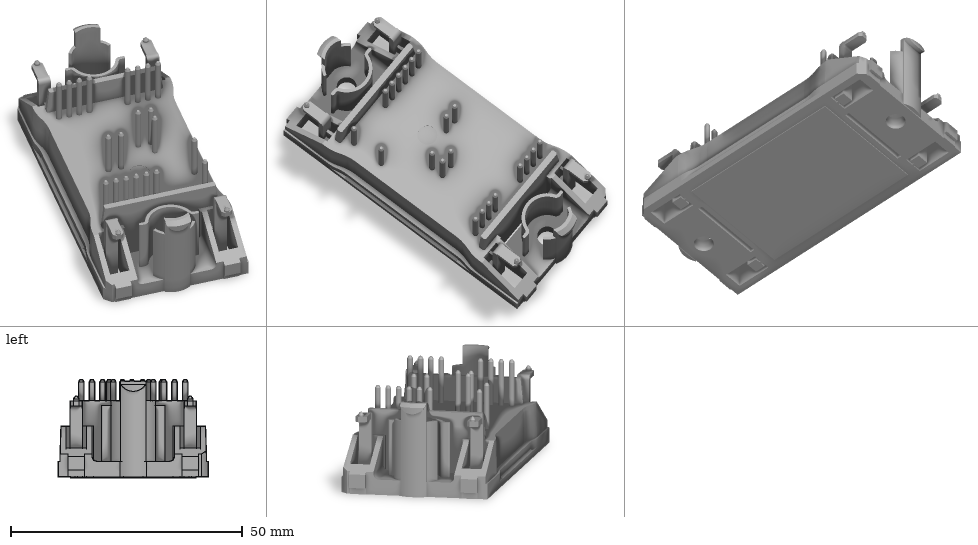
import cadquery as cq
import math

plate_size = (38.3, 27.1)
plate_thick = 0.2
flange_half_x = 32.1
flange_width = 32.5
flange_half_y = flange_width / 2
flange_top = 3.55
corner_cut = 1.5
body_top = 11.15
body_half_y = 15.9
waist_half_y = 14.6
body_draft = 1.8
curve_outer_x = 21.15
curve_inner_x = 13.95

relief_outer_x = 19.9
relief_inner_x = 15.3
relief_half_y = 15.65
relief_floor = 1.65
relief_slope_top = 2.05

slope_start_x = 21.95
tab_end_x = 33.0
tab_top = 4.65
tab_step_z = 1.65
tab_foot_x = 32.3
tab_y = 12.3
tab_width = 3.55

bay_floor_half_y = 7.7
bay_half_y = 8.9
bay_fillet = 1.15
slot_outer_x = 21.6
slot_half_y = 8.55
pocket_inner_x = 21.75
pocket_inner_top_x = 21.5
pocket_outer_x = 30.0
pocket_y = (10.1, 14.5)

hole_x = 27.55
hole_dia = 4.3
post_inner = 4.7
post_outer = 5.55
arm_outer = 5.4
arm_end_angle = 62.0
arm_top = 16.7
post_half_y = 2.8
post_top = 20.85
overall_length = 68.4
hook_radius = overall_length / 2 - hole_x
hook_bottom = 18.7
hook_shoulder = 20.1
hook_belly_radius = 3.15
guard_top = 15.65
guard_inner = 4.8
guard_outer = 5.55
guard_radius = (guard_inner + guard_outer) / 2
guard_thick = guard_outer - guard_inner
guard_tip_x = 1.2
guard_tip_y = 6.4
guard_bend = 0.8

wall_x = 19.8
wall_base = (1.65, 26.4)
wall_crest = (1.4, 25.2)
wall_top = 16.7
wall_corner = 0.3

clip_y = 12.3
clip_width = 2.75
arm_width = 2.45
leg_x = (23.25, 24.55)
leg_bottom = plate_thick
clip_tip_x = 29.4
clip_top = 16.6
clip_thick = 1.15
clip_tip_chamfer = 0.6
clip_bend = 1.0
clip_inner_bend = 0.4
clip_rib_width = 0.6
clip_rib_top = 10.25
shoulder_x = 22.15
shoulder_top = 6.85
nub_x = 28.85
nub_dia = 1.2
nub_collar_top = 17.0
nub_tip_top = 17.7
nub_tip_dia = 0.3

mark_x = 5.4
mark_dia = 4.3
mark_depth = 0.1

pin_dia = 1.2
pin_tip_dia = 0.6
pin_tip_height = 0.55
pin_top = 21.2
right_row_count = 6
right_row_length = 11.5
pin_pitch = right_row_length / (right_row_count - 1)
left_row_count = 4
pin_row_x = 16.7
pin_row_y = 11.2
left_rows = [
    (-pin_row_x, side * (pin_row_y - i * pin_pitch))
    for side in (1, -1)
    for i in range(left_row_count)
]
right_row = [(pin_row_x, i * pin_pitch - pin_row_y) for i in range(right_row_count)]
single_pins = [
    (-2.9, 5.2), (0.0, 5.2), (-2.9, 2.3), (2.8, -3.35),
    (2.8, -6.2), (9.2, pin_row_y), (pin_row_x, pin_row_y),
]


def box(x, y, z):
    """Box from (low, high) pairs along each axis."""
    size = (x[1] - x[0], y[1] - y[0], z[1] - z[0])
    return cq.Workplane("XY").box(*size, centered=False).translate((x[0], y[0], z[0]))


def both_ends(shape):
    """The shape and its mirror image at the other X end."""
    return shape.union(shape.mirror("YZ"))


def both_sides(shape):
    """The shape and its mirror image at the other Y side."""
    return shape.union(shape.mirror("XZ"))


def arc_midpoints(start, end):
    """Midpoints of the two equal arcs of an S curve that is parallel to X at both ends, and its centre."""
    dx = end[0] - start[0]
    dy = end[1] - start[1]
    half_turn = math.atan2(abs(dy), abs(dx))
    rise = math.copysign(abs(dx) / 4 * math.tan(half_turn / 2), dy)
    centre = (start[0] + dx / 2, start[1] + dy / 2)
    first = (start[0] + dx / 4 + rise * dy / dx, start[1] + dy / 4 - rise)
    second = (end[0] - dx / 4 - rise * dy / dx, end[1] - dy / 4 + rise)
    return first, centre, second


def s_curve(outline, start, end):
    """Continue the outline from start to end with an S curve of two arcs."""
    first, centre, second = arc_midpoints(start, end)
    return outline.threePointArc(first, centre).threePointArc(second, end)


def footprint(top):
    """Block of the flange outline, with the two -Y corners cut off."""
    block = box((-flange_half_x, flange_half_x), (-flange_half_y, flange_half_y), (plate_thick, top))
    return block.edges("|Z and <Y").chamfer(corner_cut)


def flange():
    """Flange with a stepped and sloped relief along each long side."""
    start = (-relief_outer_x, flange_half_y)
    inner_left = (-relief_inner_x, relief_half_y)
    inner_right = (relief_inner_x, relief_half_y)
    end = (relief_outer_x, flange_half_y)
    outline = cq.Workplane("XY", origin=(0, 0, relief_floor)).moveTo(*start)
    outline = s_curve(outline, start, inner_left).lineTo(*inner_right)
    relief = s_curve(outline, inner_right, end).close().extrude(flange_top - relief_floor)
    ledge = (
        cq.Workplane("YZ")
        .polyline([
            (flange_half_y, relief_floor), (relief_half_y, relief_slope_top), (relief_half_y, relief_floor),
        ])
        .close()
        .extrude(relief_inner_x, both=True)
    )
    return footprint(flange_top).cut(both_sides(relief.cut(ledge)))


def raised_body():
    """Drafted upper body: wide at the ends, narrow at the waist, sloped at both ends."""
    outline = cq.Workplane("XY", origin=(0, 0, flange_top)).moveTo(-tab_end_x, -body_half_y)
    for turn in (1, -1):
        wide_start = (-turn * curve_outer_x, turn * body_half_y)
        waist_start = (-turn * curve_inner_x, turn * waist_half_y)
        waist_end = (turn * curve_inner_x, turn * waist_half_y)
        wide_end = (turn * curve_outer_x, turn * body_half_y)
        outline = outline.lineTo(-turn * tab_end_x, turn * body_half_y).lineTo(*wide_start)
        outline = s_curve(outline, wide_start, waist_start).lineTo(*waist_end)
        outline = s_curve(outline, waist_end, wide_end).lineTo(turn * tab_end_x, turn * body_half_y)
    outline = outline.close()
    solid = outline.extrude(body_top - flange_top, taper=body_draft).intersect(footprint(body_top))
    tab_side = tab_width / 2
    tab = (
        cq.Workplane("XZ", origin=(0, tab_y + tab_side, 0))
        .polyline([
            (slope_start_x, body_top), (tab_end_x, body_top), (tab_end_x, tab_step_z),
            (tab_foot_x, tab_step_z), (tab_foot_x, plate_thick), (slope_start_x, plate_thick),
        ])
        .close()
        .extrude(tab_width)
    )
    solid = solid.union(both_ends(both_sides(tab)))
    slope_cut = (
        cq.Workplane("XZ")
        .polyline([(slope_start_x, body_top), (tab_end_x, tab_top), (tab_end_x, body_top)])
        .close()
        .extrude(flange_half_y, both=True)
    )
    return solid.cut(both_ends(slope_cut))


def end_openings():
    """Mounting bay, slot, clip pockets and mounting hole at both ends."""
    slot_inner_x = wall_x + wall_base[0] / 2
    fillet_top = flange_top + bay_fillet
    bay = (
        cq.Workplane("YZ", origin=(slot_outer_x, 0, 0))
        .moveTo(-bay_floor_half_y, flange_top)
        .lineTo(bay_floor_half_y, flange_top)
        .radiusArc((bay_half_y, fillet_top), -bay_fillet)
        .lineTo(bay_half_y, body_top)
        .lineTo(-bay_half_y, body_top)
        .lineTo(-bay_half_y, fillet_top)
        .radiusArc((-bay_floor_half_y, flange_top), -bay_fillet)
        .close()
        .extrude(tab_end_x - slot_outer_x)
    )
    slot = box((slot_inner_x, slot_outer_x), (-slot_half_y, slot_half_y), (0, body_top))
    pocket = (
        cq.Workplane("XZ", origin=(0, pocket_y[1], 0))
        .polyline([
            (pocket_inner_x, 0), (pocket_outer_x, 0),
            (pocket_outer_x, body_top), (pocket_inner_top_x, body_top),
        ])
        .close()
        .extrude(pocket_y[1] - pocket_y[0])
    )
    pockets = both_sides(pocket)
    hole = cq.Workplane("XY").center(hole_x, 0).circle(hole_dia / 2).extrude(body_top)
    return both_ends(bay.union(slot).union(pockets).union(hole))


def latch():
    """C-shaped ring sector around the hole, with a tall hooked post in its middle."""
    def sector(profile):
        turned = cq.Workplane("XZ").polyline(profile).close().revolve(2 * arm_end_angle, (0, 0), (0, 1))
        return turned.rotate((0, 0, 0), (0, 0, 1), -arm_end_angle)

    def ring_wall(outer, top):
        return sector([(post_inner, flange_top), (outer, flange_top), (outer, top), (post_inner, top)])

    arms = ring_wall(arm_outer, arm_top)
    post = ring_wall(post_outer, post_top)
    hook = sector([
        (post_inner, hook_bottom), (hook_radius, hook_bottom), (hook_radius, hook_shoulder),
        (post_outer, post_top), (post_inner, post_top),
    ])
    belly = cq.Workplane("YZ").center(0, hook_bottom + hook_belly_radius).circle(hook_belly_radius)
    post = post.union(hook.intersect(belly.extrude(hook_radius)))
    post = post.intersect(box((0, hook_radius), (-post_half_y, post_half_y), (0, post_top)))
    foot = cq.Workplane("XY", origin=(0, 0, plate_thick)).circle(post_outer).extrude(flange_top - plate_thick)
    foot = foot.intersect(box((post_inner, post_outer), (-post_outer, post_outer), (0, flange_top)))
    return arms.union(post).union(foot).translate((hole_x, 0, 0))


def guard():
    """Thin curved wall facing the latch, with tips that bend back parallel to Y."""
    bend_x = guard_tip_x + guard_bend
    bend_y = math.sqrt((guard_radius + guard_bend) ** 2 - bend_x ** 2)
    ratio = guard_radius / (guard_radius + guard_bend)
    join = (bend_x * ratio, bend_y * ratio)
    path = (
        cq.Workplane("XY", origin=(0, 0, flange_top))
        .moveTo(guard_tip_x, -guard_tip_y)
        .lineTo(guard_tip_x, -bend_y)
        .tangentArcPoint((join[0], -join[1]), relative=False)
        .threePointArc((guard_radius, 0), join)
        .tangentArcPoint((guard_tip_x, bend_y), relative=False)
        .lineTo(guard_tip_x, guard_tip_y)
    )
    wall = path.offset2D(guard_thick / 2).extrude(guard_top - flange_top)
    return wall.mirror("YZ").translate((hole_x, 0, 0))


def cross_wall():
    """Wall with drafted sides and ends that stands on the body next to the slot."""
    wall = (
        cq.Workplane("XY", origin=(wall_x, 0, body_top))
        .rect(*wall_base)
        .workplane(offset=wall_top - body_top)
        .rect(*wall_crest)
        .loft()
    )
    return wall.edges("not(#Z)").chamfer(wall_corner)


def clip():
    """Bent clip in a pocket: leg, outward arm, locating nub and a rib to the pocket wall."""
    leg = box(leg_x, (-clip_width / 2, clip_width / 2), (leg_bottom, clip_top))
    arm = box((leg_x[0], clip_tip_x), (-arm_width / 2, arm_width / 2), (clip_top - clip_thick, clip_top))
    arm = arm.edges("|Z and >X").chamfer(clip_tip_chamfer)
    bent = leg.union(arm).edges("|Y and >Z and <X").fillet(clip_bend)
    inner_corner = cq.selectors.NearestToPointSelector((leg_x[1], 0, clip_top - clip_thick))
    bent = bent.edges(inner_corner).fillet(clip_inner_bend)
    shoulder = box((shoulder_x, leg_x[0]), (-clip_width / 2, clip_width / 2), (leg_bottom, shoulder_top))
    rib = box(
        (pocket_inner_top_x, leg_x[0]),
        (-clip_rib_width / 2, clip_rib_width / 2),
        (leg_bottom, clip_rib_top),
    )
    nub = (
        cq.Workplane("XZ")
        .polyline([
            (0, clip_top), (nub_dia / 2, clip_top), (nub_dia / 2, nub_collar_top),
            (nub_tip_dia / 2, nub_tip_top), (0, nub_tip_top),
        ])
        .close()
        .revolve(360, (0, 0), (0, 1))
        .translate((nub_x, 0, 0))
    )
    return bent.union(shoulder).union(rib).union(nub).translate((0, clip_y, 0))


def pins():
    """Contact pins with a tapered tip."""
    shank_top = pin_top - pin_tip_height
    profile = [
        (0, flange_top), (pin_dia / 2, flange_top), (pin_dia / 2, shank_top),
        (pin_tip_dia / 2, pin_top), (0, pin_top),
    ]
    pin = cq.Workplane("XZ").polyline(profile).close().revolve(360, (0, 0), (0, 1)).val()
    places = left_rows + right_row + single_pins
    return cq.Workplane("XY").pushPoints(places).eachpoint(lambda place: pin.moved(place), combine=False)


base_plate = cq.Workplane("XY").rect(*plate_size).extrude(plate_thick)
mark = cq.Workplane("XY", origin=(mark_x, 0, body_top)).circle(mark_dia / 2).extrude(-mark_depth)
housing = base_plate.union(flange()).union(raised_body()).cut(end_openings()).cut(mark)
end_fittings = latch().union(guard()).union(cross_wall()).union(both_sides(clip()))
result = housing.union(both_ends(end_fittings)).union(pins())